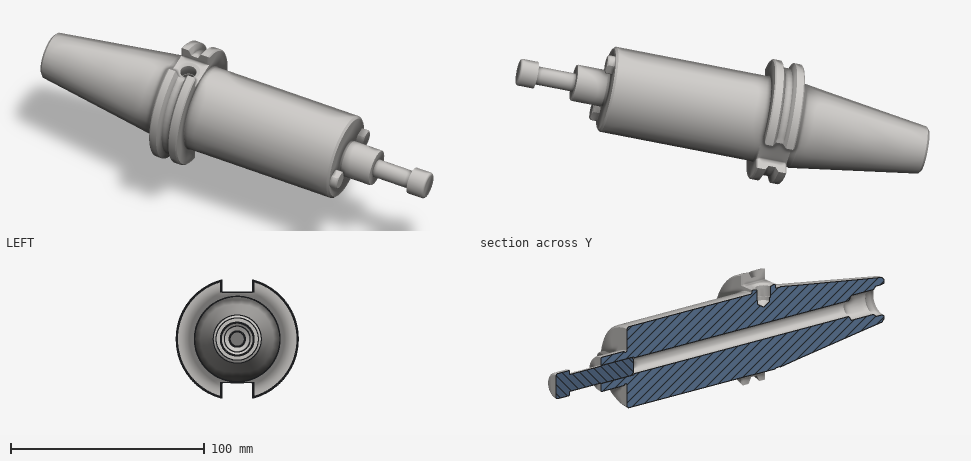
import cadquery as cq
import math


GAUGE_X = 68.3
FLANGE_START_X = 71.5
FLANGE_END_X = 87.4
GROOVE_CENTRE_X = 79.4
BODY_END_X = 170.0
PILOT_END_X = 187.0
SCREW_HEAD_X = 207.5
TOTAL_LENGTH = 216.8

TAPER_SLOPE = 7 / 24
GAUGE_D = 44.5
TAPER_END_CHAMFER = 1.3
NECK_D = 44.0
NECK_RAMP = 0.5

FLANGE_D = 63.3
FLANGE_ROOT_RADIUS = 0.5
FLANGE_CHAMFER = 0.7
GROOVE_DEPTH = 3.3
GROOVE_FLOOR_WIDTH = 3.7
GROOVE_ANGLE = 55.0
SLOT_WIDTH = 16.0
SLOT_CHAMFER = 0.7
SLOT_FLOOR_RADIUS = 0.7
UPPER_SLOT_FLOOR_Z = 24.3
LOWER_SLOT_FLOOR_Z = -22.5

DIMPLE_MOUTH_D = 12.1
DIMPLE_MOUTH_DEPTH = 0.7
DIMPLE_D = 8.5
DIMPLE_DEPTH = 6.5
DIMPLE_CORE_D = 7.5
DIMPLE_CORE_DEPTH = 8.7
DRILL_POINT_ANGLE = 118.0

BODY_D = 44.9
BODY_CHAMFER = 1.0
UNDERCUT_D = 17.5
UNDERCUT_WIDTH = 1.3
UNDERCUT_RADIUS = 0.7
PILOT_D = 19.0
PILOT_CHAMFER_LENGTH = 0.7
PILOT_CHAMFER_DROP = 0.2

BORE_MOUTH_D = 17.5
BORE_MOUTH_DEPTH = 2.2
BORE_ENTRY_D = 16.5
BORE_ENTRY_DEPTH = 5.5
THREAD_D = 13.5
THREAD_DEPTH = 21.7
THROUGH_D = 8.5

SCREW_D = 9.5
SCREW_HEAD_D = 14.0
SCREW_HEAD_RADIUS = 1.3
SCREW_POINT_CHAMFER = 1.0
SCREW_END_X = 165.5

PIN_D = 9.5
PIN_ACROSS_FLATS = 8.0
PIN_HEIGHT = 4.0
PIN_CHAMFER = 0.7
PIN_OFFSET_Y = 16.0


def revolve_about_x(points):
    """Solid of revolution about X from (x, radius) points."""
    return cq.Workplane("XY").polyline(points).close().revolve(360, (0, 0, 0), (1, 0, 0))


def cylinder_along_x(start_x, end_x, diameter):
    return cq.Workplane("YZ", origin=(start_x, 0, 0)).circle(diameter / 2).extrude(end_x - start_x)


def cone_height(large_d, small_d, included_angle):
    return (large_d - small_d) / 2 / math.tan(math.radians(included_angle / 2))


def make_taper():
    end_d = GAUGE_D - GAUGE_X * TAPER_SLOPE
    return revolve_about_x([
        (0, 0),
        (0, end_d / 2 - TAPER_END_CHAMFER),
        (TAPER_END_CHAMFER, end_d / 2 + TAPER_END_CHAMFER * TAPER_SLOPE / 2),
        (GAUGE_X, GAUGE_D / 2),
        (GAUGE_X + NECK_RAMP, NECK_D / 2),
        (FLANGE_START_X, NECK_D / 2),
        (FLANGE_START_X, 0),
    ])


def make_root_fillet(face_x, diameter, radius, direction):
    """Concave ring in the corner between a face at face_x and a cylinder running along direction."""
    r = diameter / 2
    reach_x = face_x + direction * radius
    bulge = radius * (1 - math.sqrt(0.5))
    section = (
        cq.Workplane("XY")
        .moveTo(face_x, r)
        .lineTo(face_x, r + radius)
        .threePointArc((face_x + direction * bulge, r + bulge), (reach_x, r))
        .close()
    )
    return section.revolve(360, (0, 0, 0), (1, 0, 0))


def make_groove_cutter():
    outer_r = FLANGE_D / 2
    floor_half = GROOVE_FLOOR_WIDTH / 2
    mouth_half = floor_half + GROOVE_DEPTH * math.tan(math.radians(GROOVE_ANGLE / 2))
    return revolve_about_x([
        (GROOVE_CENTRE_X - mouth_half, outer_r),
        (GROOVE_CENTRE_X - floor_half, outer_r - GROOVE_DEPTH),
        (GROOVE_CENTRE_X + floor_half, outer_r - GROOVE_DEPTH),
        (GROOVE_CENTRE_X + mouth_half, outer_r),
    ])


def make_slot_cutter(floor_z):
    """Drive slot across the flange, open outwards from its floor, flaring at both flange faces."""
    half = SLOT_WIDTH / 2
    flared = half + SLOT_CHAMFER
    start_x = FLANGE_START_X
    end_x = FLANGE_END_X
    height = FLANGE_D / 2 - abs(floor_z)
    centre = ((start_x + end_x) / 2, 0, math.copysign(abs(floor_z) + height / 2, floor_z))
    floor_side = "<Z" if floor_z > 0 else ">Z"

    slot = cq.Workplane("XY").box(end_x - start_x, SLOT_WIDTH, height)
    slot = slot.faces(floor_side).edges("|X").fillet(SLOT_FLOOR_RADIUS).translate(centre)
    for face_x, inward in ((start_x, 1), (end_x, -1)):
        inner_x = face_x + inward * SLOT_CHAMFER
        outline = [(face_x, flared), (inner_x, half), (inner_x, -half), (face_x, -flared)]
        flare = cq.Workplane("XY").polyline(outline).close().extrude(height / 2, both=True)
        slot = slot.union(flare.translate((0, 0, centre[2])))
    return slot


def make_dimple_cutter():
    """Countersunk blind hole with a drill point, in the floor of the upper slot."""
    r = DIMPLE_D / 2
    core_r = DIMPLE_CORE_D / 2
    mouth_r = DIMPLE_MOUTH_D / 2
    point = cone_height(DIMPLE_CORE_D, 0, DRILL_POINT_ANGLE)
    outline = [
        (0, 0),
        (mouth_r, 0),
        (r, -DIMPLE_MOUTH_DEPTH),
        (r, -DIMPLE_DEPTH),
        (core_r, -DIMPLE_DEPTH),
        (core_r, -DIMPLE_CORE_DEPTH),
        (0, -DIMPLE_CORE_DEPTH - point),
    ]
    dimple = cq.Workplane("XZ").polyline(outline).close().revolve(360, (0, 0, 0), (0, 1, 0))
    return dimple.translate(((FLANGE_START_X + FLANGE_END_X) / 2, 0, UPPER_SLOT_FLOOR_Z))


def make_flange():
    flange = cylinder_along_x(FLANGE_START_X, FLANGE_END_X, FLANGE_D).edges().chamfer(FLANGE_CHAMFER)
    flange = flange.cut(make_groove_cutter())
    for floor_z in (UPPER_SLOT_FLOOR_Z, LOWER_SLOT_FLOOR_Z):
        flange = flange.cut(make_slot_cutter(floor_z))
    return flange


def make_body_and_pilot():
    body = cylinder_along_x(FLANGE_END_X, BODY_END_X, BODY_D).faces(">X").edges().chamfer(BODY_CHAMFER)
    pilot_start_x = BODY_END_X + UNDERCUT_WIDTH
    undercut = cylinder_along_x(BODY_END_X, pilot_start_x, UNDERCUT_D)
    r = PILOT_D / 2
    pilot = revolve_about_x([
        (pilot_start_x, 0),
        (pilot_start_x, r),
        (PILOT_END_X - PILOT_CHAMFER_LENGTH, r),
        (PILOT_END_X, r - PILOT_CHAMFER_DROP),
        (PILOT_END_X, 0),
    ])
    return body.union(undercut).union(pilot)


def make_bore_cutter():
    """Stepped bore from the taper end up to the end of the lock screw."""
    step = (BORE_ENTRY_D - THREAD_D) / 2
    point = cone_height(THREAD_D, THROUGH_D, DRILL_POINT_ANGLE)
    return revolve_about_x([
        (0, 0),
        (0, BORE_MOUTH_D / 2),
        (BORE_MOUTH_DEPTH, BORE_ENTRY_D / 2),
        (BORE_ENTRY_DEPTH, BORE_ENTRY_D / 2),
        (BORE_ENTRY_DEPTH + step, THREAD_D / 2),
        (THREAD_DEPTH, THREAD_D / 2),
        (THREAD_DEPTH + point, THROUGH_D / 2),
        (SCREW_END_X, THROUGH_D / 2),
        (SCREW_END_X, 0),
    ])


def make_holder():
    holder = make_taper().union(make_flange()).union(make_body_and_pilot())
    root_fillets = [
        make_root_fillet(FLANGE_START_X, NECK_D, FLANGE_ROOT_RADIUS, -1),
        make_root_fillet(FLANGE_END_X, BODY_D, FLANGE_ROOT_RADIUS, 1),
        make_root_fillet(BODY_END_X, UNDERCUT_D, UNDERCUT_RADIUS, 1),
    ]
    for ring in root_fillets:
        holder = holder.union(ring)
    screw_hole = cylinder_along_x(SCREW_END_X, PILOT_END_X, SCREW_D)
    return holder.cut(make_dimple_cutter()).cut(make_bore_cutter()).cut(screw_hole)


def make_lock_screw():
    shank = cylinder_along_x(SCREW_END_X, SCREW_HEAD_X, SCREW_D)
    shank = shank.faces("<X").chamfer(SCREW_POINT_CHAMFER)
    head = cylinder_along_x(SCREW_HEAD_X, TOTAL_LENGTH, SCREW_HEAD_D)
    return shank.union(head.faces(">X").edges().fillet(SCREW_HEAD_RADIUS))


def make_drive_pin(offset_y):
    """Round pin standing on the end face of the body, with flats above and below."""
    pin = cylinder_along_x(BODY_END_X, BODY_END_X + PIN_HEIGHT, PIN_D)
    pin = pin.faces(">X").edges().chamfer(PIN_CHAMFER)
    flats = cq.Workplane("XY").box(2 * PIN_HEIGHT, PIN_D, PIN_ACROSS_FLATS).translate((BODY_END_X, 0, 0))
    return pin.intersect(flats).translate((0, offset_y, 0))


holder = make_holder()
lock_screw = make_lock_screw()
drive_pins = [make_drive_pin(side * PIN_OFFSET_Y) for side in (-1, 1)]

result = cq.Compound.makeCompound([
    holder.val(),
    lock_screw.val(),
    *[pin.val() for pin in drive_pins],
])